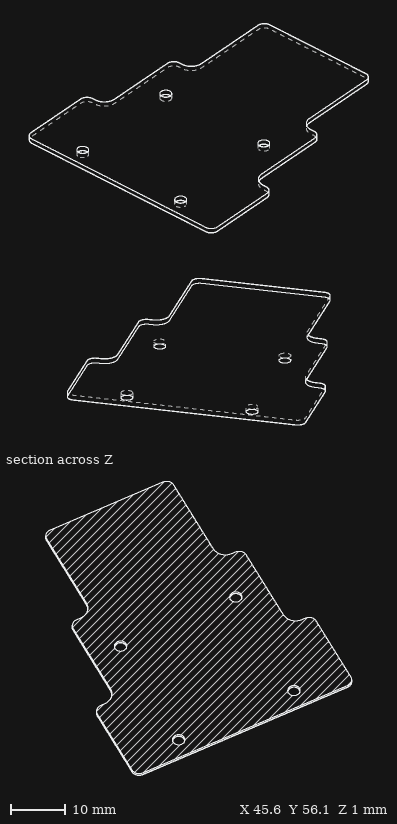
import cadquery as cq

thickness = 1.0
total_length = 56.15

base_width = 45.62
middle_width = 36.1
tip_width = 26.5
base_shoulder_y = 17.05
middle_shoulder_y = 36.1

outer_radius = 1.5
inner_radius = 2.5

hole_diameter = 2.2
hole_spacing_x = 24.0
hole_spacing_y = 23.5
first_hole_row_y = 3.6


def stepped_blank():
    """Sharp-cornered plate: three stacked widths, symmetric about X = 0."""
    right_side = [
        (base_width / 2, 0),
        (base_width / 2, base_shoulder_y),
        (middle_width / 2, base_shoulder_y),
        (middle_width / 2, middle_shoulder_y),
        (tip_width / 2, middle_shoulder_y),
        (tip_width / 2, total_length),
    ]
    left_side = [(-x, y) for x, y in reversed(right_side)]
    return cq.Workplane("XY").polyline(right_side + left_side).close().extrude(thickness)


def round_corners(plate):
    """Round the inside corners of the shoulders, then all outside corners."""
    inside_corners = [
        (side * width / 2, y)
        for side in (-1, 1)
        for width, y in ((middle_width, base_shoulder_y), (tip_width, middle_shoulder_y))
    ]
    outside_corners = [
        (side * width / 2, y)
        for side in (-1, 1)
        for width, y in (
            (base_width, 0),
            (base_width, base_shoulder_y),
            (middle_width, middle_shoulder_y),
            (tip_width, total_length),
        )
    ]
    for corners, radius in ((inside_corners, inner_radius), (outside_corners, outer_radius)):
        for x, y in corners:
            corner = cq.selectors.NearestToPointSelector((x, y, thickness / 2))
            plate = plate.edges("|Z").edges(corner).fillet(radius)
    return plate


def drill_mounting_holes(plate):
    """Four through holes in a rectangle."""
    pattern_center_y = first_hole_row_y + hole_spacing_y / 2
    holes = (
        cq.Workplane("XY")
        .center(0, pattern_center_y)
        .rarray(hole_spacing_x, hole_spacing_y, 2, 2)
        .circle(hole_diameter / 2)
        .extrude(thickness)
    )
    return plate.cut(holes)


result = drill_mounting_holes(round_corners(stepped_blank()))